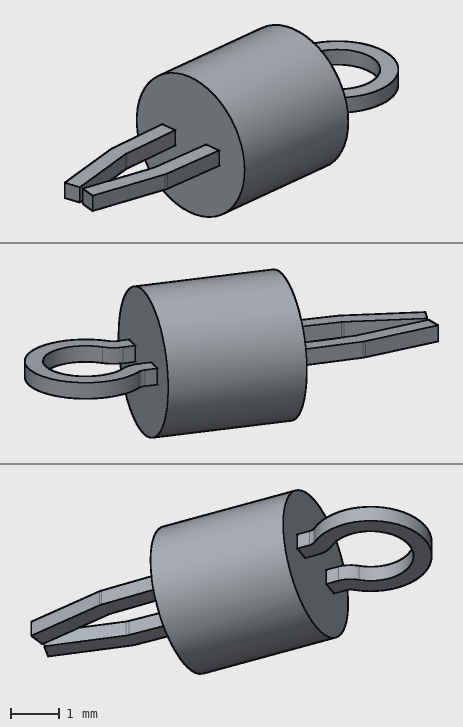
import cadquery as cq
import math

bead_diameter = 3.175
bead_length = 3.05

wire_width = 0.38
wire_thickness = 0.36

loop_outer_diameter = 2.54
loop_radius = (loop_outer_diameter - wire_width) / 2
loop_distance = 1.265
loop_center_y = bead_length + loop_distance
neck_half_spacing = 0.705
neck_outer_radius = 0.22
neck_radius = neck_outer_radius + wire_width / 2

bend_half_spacing = 0.615
bend_y = -1.5
bend_radius = 0.3
tip_half_spacing = 0.227
tip_y = -3.253


def between(start, end, fraction):
    """Point part of the way from start to end."""
    return tuple(a + (b - a) * fraction for a, b in zip(start, end))


def mirrored(point):
    """The same point on the opposite side of the middle plane."""
    return (-point[0], point[1])


def make_wire():
    neck_center_x = neck_half_spacing + neck_radius
    center_distance = loop_radius + neck_radius
    neck_center_y = loop_center_y - math.sqrt(center_distance**2 - neck_center_x**2)
    loop_center = (0, loop_center_y)
    neck_center = (-neck_center_x, neck_center_y)

    tip = (-tip_half_spacing, tip_y)
    bend = (-bend_half_spacing, bend_y)
    neck_foot = (-neck_half_spacing, bead_length)
    neck_end = (-neck_half_spacing, neck_center_y)
    loop_start = between(loop_center, neck_center, loop_radius / center_distance)
    loop_top = (0, loop_center_y + loop_radius)

    half_turn = math.atan2(loop_center_y - neck_center_y, neck_center_x) / 2
    neck_middle = (
        neck_center[0] + neck_radius * math.cos(half_turn),
        neck_center[1] + neck_radius * math.sin(half_turn),
    )

    path = (
        cq.Workplane("XY")
        .moveTo(*tip)
        .lineTo(*bend)
        .lineTo(*neck_foot)
        .lineTo(*neck_end)
        .threePointArc(neck_middle, loop_start)
        .threePointArc(loop_top, mirrored(loop_start))
        .threePointArc(mirrored(neck_middle), mirrored(neck_end))
        .lineTo(*mirrored(neck_foot))
        .lineTo(*mirrored(bend))
        .lineTo(*mirrored(tip))
    )
    start_plane = cq.Plane(
        origin=(*tip, 0),
        xDir=(0, 0, 1),
        normal=(bend[0] - tip[0], bend[1] - tip[1], 0),
    )
    section = cq.Workplane(start_plane).rect(wire_thickness, wire_width)
    wire = section.sweep(path, transition="right")
    return round_bends(wire, [bend, mirrored(bend)]).solids()


def round_bends(wire, bends):
    for x, y in bends:
        for side in (-1, 1):
            edge_x = x + side * wire_width / 2
            nearest_edge = cq.selectors.NearestToPointSelector((edge_x, y, 0))
            wire = wire.edges("|Z").edges(nearest_edge).fillet(bend_radius)
    return wire


def make_bead(wire):
    cylinder = cq.Workplane("XZ").circle(bead_diameter / 2).extrude(-bead_length)
    return cylinder.cut(wire).solids()


wire = make_wire()
bead = make_bead(wire)

result = cq.Compound.makeCompound([bead.val(), wire.val()])